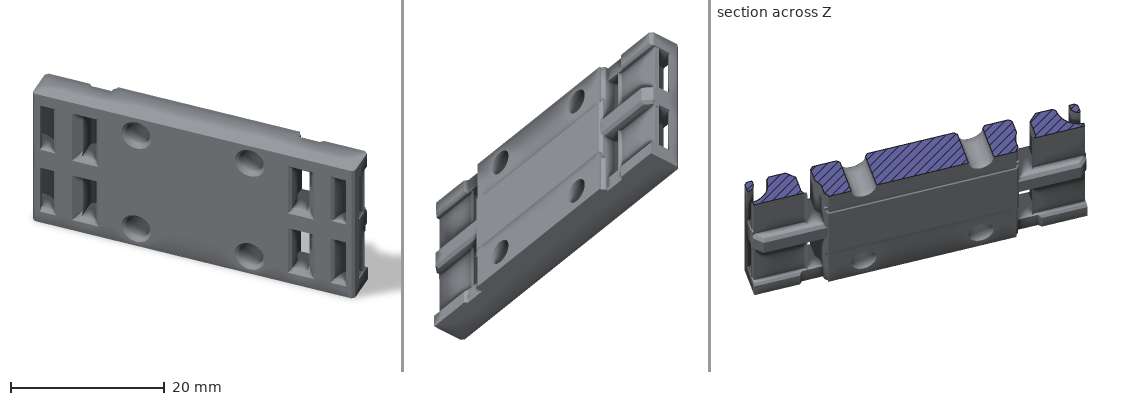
import cadquery as cq
import math

LENGTH = 45.4
HEIGHT = 20.6
PLATE_BACK = 4.75
FRONT_CHAMFER = 0.35
BACK_CHAMFER = 0.4

BLOCK_HALF = 13.2
BLOCK_BACK = 5.45
SHOULDER = 5.2
BLOCK_TOE = 4.8
BLOCK_INSET = 0.4
PAD_BACK = 5.6
PAD_HALF_HEIGHT = 4.4
SHOULDER_HALF_HEIGHT = 4.9

RELIEF_OUTER = 16.05
RELIEF_FLOOR = 4.35

WINDOW_INNER = 1.45
WINDOW_OUTER = 8.15
WINDOW_HEIGHT = WINDOW_OUTER - WINDOW_INNER
MOUTH_CHAMFER = 0.4

BEND_CENTRE_Y = 0.45
BEND_INNER_RADIUS = 1.15
BEND_OUTER_RADIUS = 2.95

SLOT_OUTER = 15.95
SLOT_INNER = 13.75
SLOT_RAMP = 1.1
SLOT_LIP = 0.6
SLOT_FLARE_START = 2.4
SLOT_FLARE_END = 3.25
SLOT_BOTTOM_CHAMFER = 0.5

RIB_CHAMFER = 0.4

GROOVE_FLOOR = 3.95
GROOVE_FLARE = 0.3
END_STEP = 0.15
END_STEP_INNER = 1.85

HOLE_DIAMETER = 3.4
HOLE_MOUTH_DIAMETER = 4.18
HOLE_X = 8.0
HOLE_Z = 7.55

LIP_END_X = -SLOT_OUTER + SLOT_LIP
DIAGONAL = math.sqrt(0.5)
HALF = LENGTH / 2
TOP = HEIGHT / 2
CLEAR = 0.45


def prism(outline, z_low, z_high):
    """Extrude a closed outline of (x, y) points from z_low to z_high."""
    return cq.Workplane("XY", origin=(0, 0, z_low)).polyline(outline).close().extrude(z_high - z_low)


def cross_prism(outline, x_low, x_high):
    """Extrude a closed outline of (y, z) points from x_low to x_high."""
    return cq.Workplane("YZ", origin=(x_low, 0, 0)).polyline(outline).close().extrude(x_high - x_low)


def box(x_low, x_high, y_low, y_high, z_low, z_high):
    """Box given by its limits on each axis."""
    size = (x_high - x_low, y_high - y_low, z_high - z_low)
    return cq.Workplane("XY", origin=(x_low, y_low, z_low)).box(*size, centered=False)


def both_ends(shape):
    """Shape at the -X end together with its mirror image at the +X end."""
    return shape.union(shape.mirror("YZ"))


def above_and_below(shape):
    """Shape in the upper half together with its mirror image in the lower half."""
    return shape.union(shape.mirror("XY"))


def plate():
    """Plain plate with its edge chamfers and the shallow reliefs across its back."""
    body = box(-HALF, HALF, 0, PLATE_BACK, -TOP, TOP)
    body = body.edges("|Z and <Y").chamfer(FRONT_CHAMFER)
    back_corner = prism(
        [(-HALF, PLATE_BACK - BACK_CHAMFER), (-HALF + BACK_CHAMFER, PLATE_BACK), (-HALF, PLATE_BACK)],
        WINDOW_OUTER, TOP)
    slope_run = PLATE_BACK - RELIEF_FLOOR
    relief = prism(
        [(-RELIEF_OUTER, RELIEF_FLOOR), (-RELIEF_OUTER - slope_run, PLATE_BACK),
         (-BLOCK_HALF, PLATE_BACK), (-BLOCK_HALF, RELIEF_FLOOR)],
        -TOP, TOP)
    return body.cut(both_ends(back_corner)).cut(both_ends(relief))


def centre_block():
    """Raised middle of the back, with square shoulders and a chamfered pad."""
    inset_half = BLOCK_HALF - BLOCK_INSET
    block = prism(
        [(-BLOCK_HALF, GROOVE_FLOOR), (-BLOCK_HALF, BLOCK_TOE), (-inset_half, SHOULDER),
         (-inset_half, BLOCK_BACK), (inset_half, BLOCK_BACK), (inset_half, SHOULDER),
         (BLOCK_HALF, BLOCK_TOE), (BLOCK_HALF, GROOVE_FLOOR)],
        -TOP, TOP)
    shoulders = box(-BLOCK_HALF, BLOCK_HALF, GROOVE_FLOOR, SHOULDER,
                    -SHOULDER_HALF_HEIGHT, SHOULDER_HALF_HEIGHT)
    pad = box(-BLOCK_HALF, BLOCK_HALF, GROOVE_FLOOR, PAD_BACK, -PAD_HALF_HEIGHT, PAD_HALF_HEIGHT)
    pad = pad.faces(">Y").chamfer(PAD_BACK - SHOULDER)
    return block.union(shoulders).union(pad)


def rib():
    """Rib along the middle height, sloped at both ends and chamfered along its long and end edges."""
    rise = BLOCK_BACK - (PLATE_BACK - BACK_CHAMFER)
    bar = prism(
        [(-HALF, GROOVE_FLOOR), (-HALF, BLOCK_BACK - rise), (-HALF + rise, BLOCK_BACK),
         (HALF - rise, BLOCK_BACK), (HALF, BLOCK_BACK - rise), (HALF, GROOVE_FLOOR)],
        -WINDOW_INNER, WINDOW_INNER)
    return bar.faces("<Z or >Z").edges("not <Y").chamfer(RIB_CHAMFER)


def groove():
    """Upper half of the back groove of the -X end, flared along its outer wall; the rib splits it later."""
    flare_start = PLATE_BACK - GROOVE_FLARE
    outline = [(GROOVE_FLOOR, 0), (PLATE_BACK, 0),
               (PLATE_BACK, WINDOW_OUTER + GROOVE_FLARE), (flare_start, WINDOW_OUTER),
               (GROOVE_FLOOR, WINDOW_OUTER)]
    end_step = box(-HALF, -HALF + END_STEP, BEND_CENTRE_Y + BEND_OUTER_RADIUS, GROOVE_FLOOR,
                   END_STEP_INNER, WINDOW_OUTER)
    return cross_prism(outline, -HALF, -SLOT_INNER).union(end_step)


def groove_nose():
    """Concave rise of the groove floor to the edge of the slot lip, upper half of the -X end."""
    radius = RELIEF_FLOOR - GROOVE_FLOOR
    start_x = LIP_END_X - radius
    arc_middle = (start_x + radius * DIAGONAL, RELIEF_FLOOR - radius * DIAGONAL)
    return (
        cq.Workplane("XY", origin=(0, 0, WINDOW_INNER))
        .moveTo(start_x, GROOVE_FLOOR)
        .threePointArc(arc_middle, (LIP_END_X, RELIEF_FLOOR))
        .lineTo(LIP_END_X, GROOVE_FLOOR)
        .close()
        .extrude(WINDOW_HEIGHT)
    )


def strap_channel():
    """Quarter-ring channel around the vertical front edge of the -X end."""
    centre_x = -HALF
    outer_x = centre_x + BEND_OUTER_RADIUS
    inner_x = centre_x + BEND_INNER_RADIUS

    def bend_middle(radius):
        return (centre_x + radius * DIAGONAL, BEND_CENTRE_Y + radius * DIAGONAL)

    return (
        cq.Workplane("XY", origin=(0, 0, WINDOW_INNER))
        .moveTo(inner_x, -CLEAR)
        .lineTo(inner_x, BEND_CENTRE_Y)
        .threePointArc(bend_middle(BEND_INNER_RADIUS), (centre_x, BEND_CENTRE_Y + BEND_INNER_RADIUS))
        .lineTo(centre_x - CLEAR, BEND_CENTRE_Y + BEND_INNER_RADIUS)
        .lineTo(centre_x - CLEAR, BEND_CENTRE_Y + BEND_OUTER_RADIUS)
        .lineTo(centre_x, BEND_CENTRE_Y + BEND_OUTER_RADIUS)
        .threePointArc(bend_middle(BEND_OUTER_RADIUS), (outer_x, BEND_CENTRE_Y))
        .lineTo(outer_x, -CLEAR)
        .close()
        .extrude(WINDOW_HEIGHT)
    )


def channel_mouth():
    """Chamfered front of the curved channel: widens to the centre block and to the outer side."""
    inner_x = -HALF + BEND_INNER_RADIUS
    outer_x = -HALF + BEND_OUTER_RADIUS
    wide_x = outer_x + MOUTH_CHAMFER
    wide_z = WINDOW_OUTER + MOUTH_CHAMFER
    along_x = prism([(inner_x, 0), (wide_x, 0), (outer_x, MOUTH_CHAMFER), (inner_x, MOUTH_CHAMFER)],
                    WINDOW_INNER, wide_z)
    along_z = cross_prism([(0, WINDOW_INNER), (0, wide_z), (MOUTH_CHAMFER, WINDOW_OUTER),
                           (MOUTH_CHAMFER, WINDOW_INNER)], inner_x, wide_x)
    return along_x.intersect(along_z)


def slot(z_low):
    """Strap slot of the -X end through the thickness, bending towards the centre at the back."""
    lip_start = GROOVE_FLOOR - SLOT_LIP
    lip_middle = (LIP_END_X - SLOT_LIP * DIAGONAL, lip_start + SLOT_LIP * DIAGONAL)
    return (
        cq.Workplane("XY", origin=(0, 0, z_low))
        .moveTo(-SLOT_OUTER, 0)
        .lineTo(-SLOT_OUTER, lip_start)
        .threePointArc(lip_middle, (LIP_END_X, GROOVE_FLOOR))
        .lineTo(LIP_END_X, RELIEF_FLOOR)
        .lineTo(-BLOCK_HALF, RELIEF_FLOOR)
        .lineTo(-BLOCK_HALF, SLOT_FLARE_END)
        .lineTo(-SLOT_INNER, SLOT_FLARE_START)
        .lineTo(-SLOT_INNER, 0)
        .close()
        .extrude(WINDOW_HEIGHT)
    )


def slot_mouth(z_low, top_chamfer):
    """Front of a strap slot: ramp on the end side, chamfers elsewhere, bottom sloped to full depth."""
    wide_x = -SLOT_INNER + MOUTH_CHAMFER
    ramp_x = -SLOT_OUTER - SLOT_RAMP
    z_high = z_low + WINDOW_HEIGHT
    bottom = z_low - SLOT_BOTTOM_CHAMFER
    along_x = prism([(ramp_x, 0), (wide_x, 0), (-SLOT_INNER, MOUTH_CHAMFER), (-SLOT_INNER, SLOT_RAMP),
                     (-SLOT_OUTER, SLOT_RAMP)], bottom, z_high + top_chamfer)
    profile = [(0, bottom), (0, z_high + top_chamfer)]
    if top_chamfer > 0:
        profile.append((top_chamfer, z_high))
    profile += [(SLOT_RAMP, z_high), (SLOT_RAMP, bottom + SLOT_RAMP)]
    return along_x.intersect(cross_prism(profile, ramp_x, wide_x))


def screw_hole(x, z):
    """Through hole along Y, countersunk at the front."""
    radius = HOLE_DIAMETER / 2
    mouth_radius = HOLE_MOUTH_DIAMETER / 2
    outline = [(0, 0), (mouth_radius, 0), (radius, mouth_radius - radius), (radius, PAD_BACK), (0, PAD_BACK)]
    return (
        cq.Workplane("XY", origin=(x, 0, z))
        .polyline(outline)
        .close()
        .revolve(360, (0, 0), (0, 1))
    )


result = plate().cut(both_ends(above_and_below(groove())))
result = result.union(both_ends(above_and_below(groove_nose())))
result = result.union(centre_block()).union(rib())

result = result.cut(both_ends(above_and_below(strap_channel().union(channel_mouth()))))
for window_low, top_chamfer in ((WINDOW_INNER, MOUTH_CHAMFER), (-WINDOW_OUTER, 0)):
    window = slot(window_low).union(slot_mouth(window_low, top_chamfer))
    result = result.cut(both_ends(window))

for side in (-1, 1):
    for level in (-1, 1):
        result = result.cut(screw_hole(side * HOLE_X, level * HOLE_Z))